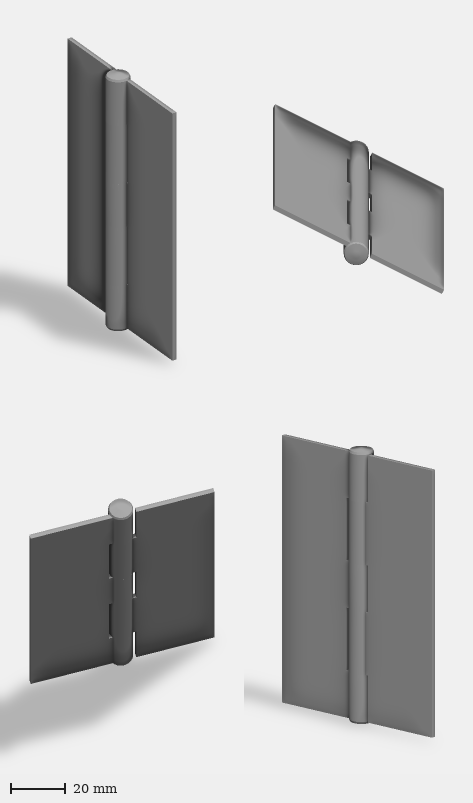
import cadquery as cq

total_height = 105.3
hinge_width = 70.0
barrel_diameter = 9.2
barrel_radius = barrel_diameter / 2

right_knuckle = 18.0
left_knuckle = 24.0
knuckle_lengths = [right_knuckle, left_knuckle, right_knuckle, left_knuckle, right_knuckle]
leaf_height = sum(knuckle_lengths)

plate_thickness = 1.8
plate_front = 0.8
knuckle_clearance = 0.6
notch_edge = barrel_radius + knuckle_clearance

cap_height = (total_height - leaf_height) / 2
rim_height = 0.8
rim_taper = 0.4
rim_top_radius = barrel_radius - rim_taper


def block(x_start, x_end, z_start, height):
    """Plate-thick block between two X positions."""
    return cq.Workplane("XY").box(
        x_end - x_start, plate_thickness, height, centered=False
    ).translate((x_start, plate_front, z_start))


def make_leaf(side, first_knuckle):
    """Leaf on side -1 (left) or +1 (right), carrying every second knuckle."""
    outer_edge = side * hinge_width / 2
    inner_edge = side * notch_edge
    leaf = block(min(outer_edge, inner_edge), max(outer_edge, inner_edge), -leaf_height / 2, leaf_height)
    for index in range(first_knuckle, len(knuckle_lengths), 2):
        length = knuckle_lengths[index]
        bottom = sum(knuckle_lengths[:index]) - leaf_height / 2
        web = block(min(0, inner_edge), max(0, inner_edge), bottom, length)
        knuckle = cq.Workplane("XY").workplane(offset=bottom).circle(barrel_radius).extrude(length)
        leaf = leaf.union(web).union(knuckle)
    return leaf


def make_cap():
    """Upper end cap, revolved about the barrel axis."""
    base = leaf_height / 2
    rim_top = base + rim_height
    profile = (
        cq.Workplane("XZ")
        .moveTo(0, base)
        .lineTo(barrel_radius, base)
        .lineTo(rim_top_radius, rim_top)
        .lineTo(0, base + cap_height)
        .close()
    )
    return profile.revolve(360, (0, 0, 0), (0, 1, 0))


left_leaf = make_leaf(side=-1, first_knuckle=1)
right_leaf = make_leaf(side=1, first_knuckle=0)
upper_cap = make_cap()
caps = [upper_cap, upper_cap.mirror("XY")]

result = cq.Compound.makeCompound(
    [left_leaf.val(), right_leaf.val(), *[cap.val() for cap in caps]]
)